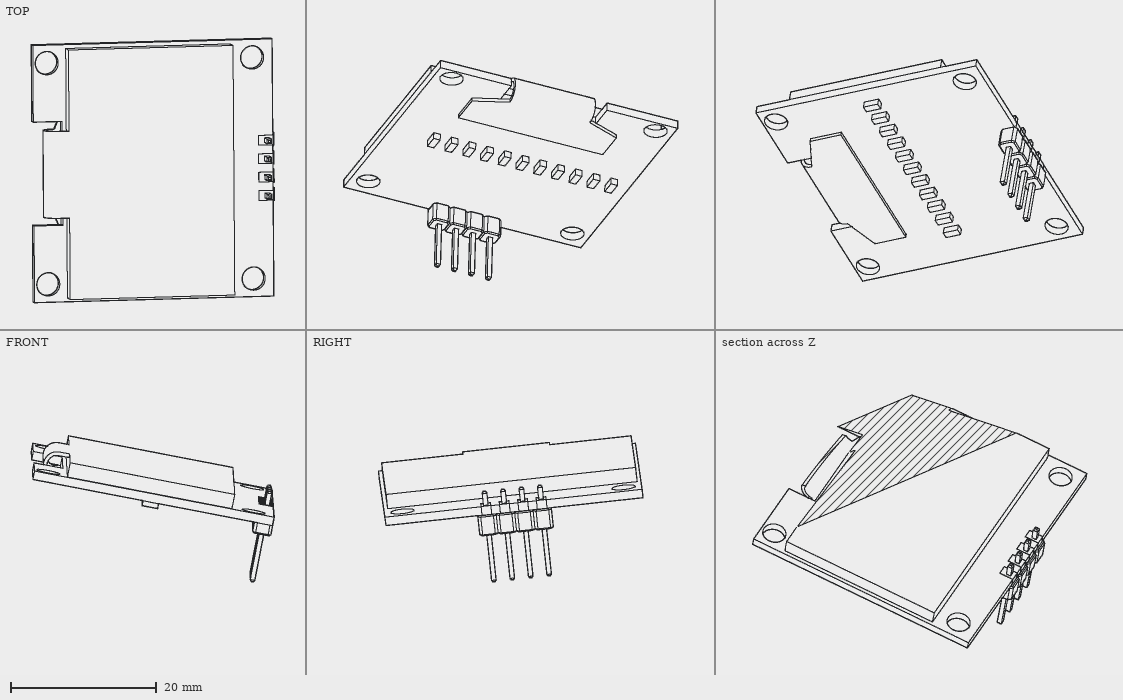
import cadquery as cq


TILT_X = 6.3
TILT_Y = 10.9
TILT_Z = 1.6

BOARD_X = 33.5
BOARD_Y = 35.55
BOARD_T = 1.2
NOTCH_DEPTH = 4.05
NOTCH_WIDTH = 14.35
HOLE_DIA = 3.2
HOLE_PITCH_X = 28.75
HOLE_PITCH_Y = 30.55
HOLE_CENTER_X = -0.45

GLASS_LEFT = -12.15
GLASS_X = 23.03
GLASS_Y = 34.5
GLASS_T = 2.0

FLEX_T = 0.5
FLEX_WIDTH = 12.0
FLEX_BEND_X = -13.57
TAIL_WIDTH = 21.6
TAIL_SHOULDER_X = -11.6
TAIL_END_X = -6.9

PAD_COUNT = 11
PAD_PITCH = 2.65
PAD_X = 2.2
PAD_Y = 1.0
PAD_T = 0.95
PAD_ROW_X = -0.2
PAD_ROW_Y = -1.7

PIN_COUNT = 4
PIN_PITCH = 2.55
PIN_X = 15.9
PIN_SIDE = 0.65
PIN_TOP = 1.95
PIN_BOTTOM = -10.8
PIN_TIP = 0.3
PIN_TIP_SIDE = 0.3
HOUSING_H = 2.85
HOUSING_CORNER = 0.4
HOUSING_RIM = 0.2
FOOT_X = 2.05
FOOT_Y = 1.35
FOOT_OFFSET_X = -0.15
FOOT_RISE = 0.05


def box(size_x, size_y, z_low, z_high, x=0.0, y=0.0):
    """Upright block centred on (x, y) and reaching from z_low to z_high."""
    block = cq.Workplane("XY").workplane(offset=z_low).center(x, y).rect(size_x, size_y)
    return block.extrude(z_high - z_low)


def board():
    plate = box(BOARD_X, BOARD_Y, -BOARD_T, 0)
    notch = box(2 * NOTCH_DEPTH, NOTCH_WIDTH, -BOARD_T, 0, x=-BOARD_X / 2)
    holes = (
        cq.Workplane("XY")
        .workplane(offset=-BOARD_T)
        .center(HOLE_CENTER_X, 0)
        .rect(HOLE_PITCH_X, HOLE_PITCH_Y, forConstruction=True)
        .vertices()
        .circle(HOLE_DIA / 2)
        .extrude(BOARD_T)
    )
    return plate.cut(notch).cut(holes)


def glass():
    return box(GLASS_X, GLASS_Y, 0, GLASS_T, x=GLASS_LEFT + GLASS_X / 2)


def flex_fold():
    """Flat strip from the glass, then a half-round bend down to the underside of the board."""
    tail_bottom = -BOARD_T - FLEX_T
    bend_radius = (GLASS_T - tail_bottom) / 2
    bend_z = tail_bottom + bend_radius
    inner_radius = bend_radius - FLEX_T
    fold = (
        cq.Workplane("XZ")
        .moveTo(GLASS_LEFT, GLASS_T)
        .lineTo(FLEX_BEND_X, GLASS_T)
        .threePointArc((FLEX_BEND_X - bend_radius, bend_z), (FLEX_BEND_X, tail_bottom))
        .lineTo(FLEX_BEND_X, -BOARD_T)
        .threePointArc((FLEX_BEND_X - inner_radius, bend_z), (FLEX_BEND_X, GLASS_T - FLEX_T))
        .lineTo(GLASS_LEFT, GLASS_T - FLEX_T)
        .close()
    )
    return fold.extrude(FLEX_WIDTH / 2, both=True)


def flex_tail():
    """Flat end of the cable, widening from the bend to its full width under the board."""
    outline = [
        (FLEX_BEND_X, -FLEX_WIDTH / 2),
        (TAIL_SHOULDER_X, -TAIL_WIDTH / 2),
        (TAIL_END_X, -TAIL_WIDTH / 2),
        (TAIL_END_X, TAIL_WIDTH / 2),
        (TAIL_SHOULDER_X, TAIL_WIDTH / 2),
        (FLEX_BEND_X, FLEX_WIDTH / 2),
    ]
    return cq.Workplane("XY").workplane(offset=-BOARD_T).polyline(outline).close().extrude(-FLEX_T)


def row_offsets(count, pitch):
    return [(i - (count - 1) / 2) * pitch for i in range(count)]


def solder_row():
    row = cq.Workplane("XY")
    for y in row_offsets(PAD_COUNT, PAD_PITCH):
        row = row.add(box(PAD_X, PAD_Y, -BOARD_T - PAD_T, -BOARD_T, x=PAD_ROW_X, y=PAD_ROW_Y + y))
    return row.combine()


def pin_tip(z_base, height):
    """Tapered pin end; a negative height points down."""
    base = cq.Workplane("XY").workplane(offset=z_base).rect(PIN_SIDE, PIN_SIDE)
    return base.workplane(offset=height).rect(PIN_TIP_SIDE, PIN_TIP_SIDE).loft()


def header_cell():
    """One pin with its chamfered housing and the foot that passes through the board."""
    housing = box(PIN_PITCH, PIN_PITCH, -BOARD_T - HOUSING_H, -BOARD_T)
    housing = housing.edges("|Z").chamfer(HOUSING_CORNER)
    housing = housing.faces("<Z or >Z").edges().chamfer(HOUSING_RIM)
    foot = box(FOOT_X, FOOT_Y, -BOARD_T, FOOT_RISE, x=FOOT_OFFSET_X)
    shaft = box(PIN_SIDE, PIN_SIDE, PIN_BOTTOM + PIN_TIP, PIN_TOP - PIN_TIP)
    upper_tip = pin_tip(PIN_TOP - PIN_TIP, PIN_TIP)
    lower_tip = pin_tip(PIN_BOTTOM + PIN_TIP, -PIN_TIP)
    return housing.union(foot).union(shaft).union(upper_tip).union(lower_tip)


module = board().union(glass()).union(flex_fold()).union(flex_tail()).union(solder_row())
cell = header_cell()
for pin_y in row_offsets(PIN_COUNT, PIN_PITCH):
    module = module.union(cell.translate((PIN_X, pin_y, 0)))

ORIGIN = (0, 0, 0)
result = (
    module.rotate(ORIGIN, (1, 0, 0), TILT_X)
    .rotate(ORIGIN, (0, 1, 0), TILT_Y)
    .rotate(ORIGIN, (0, 0, 1), TILT_Z)
)